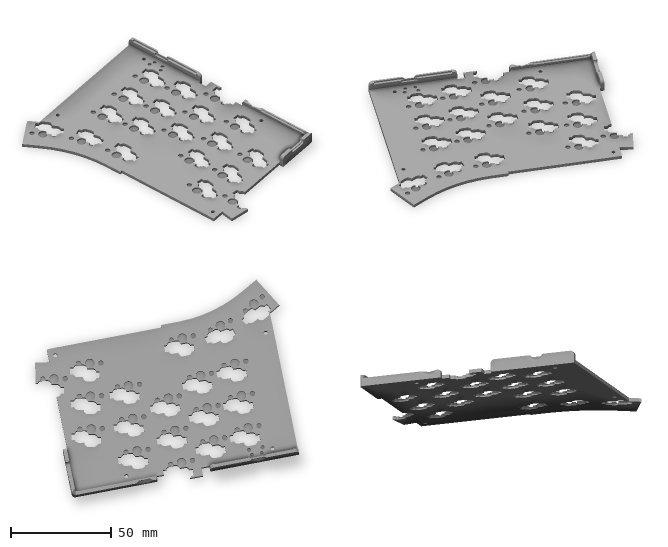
import cadquery as cq
import math


PLATE_THICKNESS = 1.8
PLATE_LEFT = -58.2
PLATE_RIGHT = 54.65
PLATE_FRONT = -32.0
PLATE_BACK = 43.1

ROW_PITCH = 17.0
TAB_HALF_WIDTH = 9.25
TAB_HALF_DEPTH = 8.72
BACK_TAB_KEY = (0.1, 38.6, 0.0)
RIGHT_TAB_KEY = (54.1, -16.25, -10.0)
INNER_THUMB_KEY = (-12.82, -24.55, 0.0)
MIDDLE_THUMB_KEY = (-32.72, -27.27, 15.0)
OUTER_THUMB_KEY = (-51.2, -34.95, 30.0)
COLUMNS = [
    ((-35.95, 27.4, 0.0), 3),
    ((-17.95, 30.2, 0.0), 3),
    (BACK_TAB_KEY, 3),
    ((20.72, 28.35, -4.0), 3),
    ((40.97, 12.77, -10.0), 3),
    (RIGHT_TAB_KEY, 1),
]

CENTRE_POCKET_DIAMETER = 4.75
SIDE_POCKET_DIAMETER = 2.68
SIDE_POCKET_OFFSET = 5.55
POCKET_DEPTH = 1.0
SOCKET_ROUNDING = 2.1
LEFT_LOBE = (0.1, 5.95, 6.65, 6.7)
RIGHT_LOBE = (4.8, 3.78, 7.0, 6.45)
PAD_HEIGHT = 3.5
LEFT_PAD_END = -4.85
RIGHT_PAD_END = 9.88

SCREW_HOLE_DIAMETER = 2.0
SCREW_HOLES = [(-45.85, 40.1), (28.45, 40.1), (-54.15, -19.2), (51.05, -28.2)]
PORT_X = -37.65
PIN_ROWS = [(2.5, 41.4, 1.8), (3.5, 38.7, 2.0)]

WALL_THICKNESS = 1.9
ROOT_CHAMFER = 0.45
PLATE_OVERLAP = 0.5
WALL_INNER_Y = PLATE_BACK + ROOT_CHAMFER
WALL_OUTER_Y = WALL_INNER_Y + WALL_THICKNESS
WALL_INNER_X = PLATE_RIGHT + ROOT_CHAMFER
WALL_OUTER_X = WALL_INNER_X + WALL_THICKNESS
TALL_TOP = 6.39
LOW_TOP = 4.25
TALL_END_ROUNDING = 2.2
SIDE_END_ROUNDING = 1.8
LOW_END_ROUNDING = 1.3
LEFT_WALL_END = -13.2
RIGHT_WALL_START = 13.6
SIDE_WALL_FRONT = 21.1
CORNER_ROUNDING = 1.6

LEDGE_WIDTH = 1.1
TALL_LEDGE_Z = 5.45
LOW_LEDGE_Z = 3.85
TALL_LEDGE_INSET = 2.5
LOW_LEDGE_START = 25.4
LOW_LEDGE_END = 53.5

PORT_SHELL_WIDTH = 8.0
PORT_SHELL_Z = 4.2
PORT_SHELL_DEPTH = 0.8
PORT_NOTCH_WIDTH = 3.2
PORT_NOTCH_Z = 5.45
PORT_FLARE_Z = 7.4
PORT_FLARE_OUTER_RADIUS = 4.2
PORT_FLARE_INNER_RADIUS = 3.1
PORT_FLARE_DEPTH = 0.8

JACK_X = 20.1
JACK_Z = 6.85
JACK_BORE_RADIUS = 3.0
JACK_FLARE_OUTER_RADIUS = 5.2
JACK_FLARE_INNER_RADIUS = 3.6
JACK_FLARE_DEPTH = 1.2

SIDE_NOTCH_BACK = 37.8
SIDE_NOTCH_FRONT = 28.4
SIDE_NOTCH_Z = 4.7
SIDE_NOTCH_ROUNDING = 1.4
SIDE_NOTCH_STEP = 0.5
SIDE_NOTCH_STEP_X = WALL_INNER_X + 1.0


def box(x0, x1, y0, y1, z0, z1):
    return cq.Workplane("XY").box(x1 - x0, y1 - y0, z1 - z0, centered=False).translate((x0, y0, z0))


def place(shape, key):
    """Moves a shape drawn around the switch centre to its key."""
    x, y, angle = key
    return shape.rotate((0, 0, 0), (0, 0, 1), angle).translate((x, y, 0))


def key_point(key, dx, dy):
    """Plate position of the point (dx, dy) in a key's own axes."""
    x, y, angle = key
    a = math.radians(angle)
    return (x + dx * math.cos(a) - dy * math.sin(a), y + dx * math.sin(a) + dy * math.cos(a))


def all_keys():
    keys = [INNER_THUMB_KEY, MIDDLE_THUMB_KEY, OUTER_THUMB_KEY]
    for back_key, count in COLUMNS:
        angle = back_key[2]
        for row in range(count):
            keys.append((*key_point(back_key, 0, -row * ROW_PITCH), angle))
    return keys


def key_tab():
    return cq.Workplane("XY").rect(2 * TAB_HALF_WIDTH, 2 * TAB_HALF_DEPTH).extrude(PLATE_THICKNESS)


def thumb_area():
    """Thumb cluster outline: its front edge sweeps through the front middle of each thumb key."""
    outer_front = key_point(OUTER_THUMB_KEY, 0, -TAB_HALF_DEPTH)
    middle_front = key_point(MIDDLE_THUMB_KEY, 0, -TAB_HALF_DEPTH)
    inner_front = key_point(INNER_THUMB_KEY, 0, -TAB_HALF_DEPTH)
    inner_right = key_point(INNER_THUMB_KEY, TAB_HALF_WIDTH, -TAB_HALF_DEPTH)
    return (
        cq.Workplane("XY")
        .moveTo(*key_point(OUTER_THUMB_KEY, 0, TAB_HALF_DEPTH))
        .lineTo(*key_point(OUTER_THUMB_KEY, -TAB_HALF_WIDTH, TAB_HALF_DEPTH))
        .lineTo(*key_point(OUTER_THUMB_KEY, -TAB_HALF_WIDTH, -TAB_HALF_DEPTH))
        .lineTo(*outer_front)
        .tangentArcPoint(middle_front, relative=False)
        .tangentArcPoint(inner_front, relative=False)
        .lineTo(*inner_right)
        .lineTo(*key_point(INNER_THUMB_KEY, TAB_HALF_WIDTH, 0))
        .close()
        .extrude(PLATE_THICKNESS)
    )


def plate():
    base = box(PLATE_LEFT, PLATE_RIGHT, PLATE_FRONT, PLATE_BACK, 0, PLATE_THICKNESS)
    base = base.union(thumb_area())
    base = base.union(place(key_tab(), BACK_TAB_KEY))
    return base.union(place(key_tab(), RIGHT_TAB_KEY))


def socket_lobe(x, y, width, height):
    lobe = cq.Workplane("XY").center(x, y).rect(width, height).extrude(PLATE_THICKNESS)
    return lobe.edges("|Z").fillet(SOCKET_ROUNDING)


def key_cutter():
    """Through opening for the hot-swap socket plus the three switch pin pockets."""
    left_x, left_y = LEFT_LOBE[:2]
    right_x, right_y = RIGHT_LOBE[:2]
    half_pad = PAD_HEIGHT / 2
    opening = socket_lobe(*LEFT_LOBE).union(socket_lobe(*RIGHT_LOBE))
    opening = opening.union(
        box(LEFT_PAD_END, left_x, left_y - half_pad, left_y + half_pad, 0, PLATE_THICKNESS)
    )
    opening = opening.union(
        box(right_x, RIGHT_PAD_END, right_y - half_pad, right_y + half_pad, 0, PLATE_THICKNESS)
    )
    floor = cq.Workplane("XY").workplane(offset=PLATE_THICKNESS - POCKET_DEPTH)
    opening = opening.union(floor.circle(CENTRE_POCKET_DIAMETER / 2).extrude(POCKET_DEPTH))
    sides = floor.pushPoints([(-SIDE_POCKET_OFFSET, 0), (SIDE_POCKET_OFFSET, 0)])
    return opening.union(sides.circle(SIDE_POCKET_DIAMETER / 2).extrude(POCKET_DEPTH))


def screw_holes():
    centres = cq.Workplane("XY").pushPoints(SCREW_HOLES)
    return centres.circle(SCREW_HOLE_DIAMETER / 2).extrude(PLATE_THICKNESS)


def pin_pockets():
    pockets = cq.Workplane("XY")
    for dx, y, diameter in PIN_ROWS:
        floor = cq.Workplane("XY", origin=(PORT_X, y, PLATE_THICKNESS - POCKET_DEPTH))
        pair = floor.pushPoints([(-dx, 0), (dx, 0)]).circle(diameter / 2).extrude(POCKET_DEPTH)
        pockets = pockets.add(pair)
    return pockets.combine()


def wall_profile(plate_edge, top):
    """Wall section as (outward, Z): a strip of plate, a 45 degree chamfer at the root, the wall."""
    inner = plate_edge + ROOT_CHAMFER
    outer = inner + WALL_THICKNESS
    return [
        (plate_edge - PLATE_OVERLAP, 0),
        (plate_edge - PLATE_OVERLAP, PLATE_THICKNESS),
        (plate_edge, PLATE_THICKNESS),
        (inner, PLATE_THICKNESS + ROOT_CHAMFER),
        (inner, top),
        (outer, top),
        (outer, 0),
    ]


def back_wall(x0, x1, top):
    section = cq.Workplane("YZ", origin=(x0, 0, 0)).polyline(wall_profile(PLATE_BACK, top)).close()
    return section.extrude(x1 - x0)


def ledge(x0, x1, z):
    """Cutter for a step along the inner top edge of a back wall."""
    return box(x0, x1, WALL_INNER_Y, WALL_INNER_Y + LEDGE_WIDTH, z, TALL_TOP)


def flare(x, z, outer_radius, inner_radius, depth):
    """Cutter for a conical hollow narrowing inwards from the outer face of a back wall."""
    outer_face = cq.Workplane("XZ", origin=(x, WALL_OUTER_Y, z))
    return outer_face.circle(outer_radius).workplane(offset=depth).circle(inner_radius).loft()


def tall_wall():
    wall = back_wall(PLATE_LEFT, LEFT_WALL_END, TALL_TOP)
    wall = wall.faces(">Z").edges("|Y").fillet(TALL_END_ROUNDING)
    wall = wall.cut(ledge(PLATE_LEFT + TALL_LEDGE_INSET, LEFT_WALL_END - TALL_LEDGE_INSET, TALL_LEDGE_Z))

    half_shell = PORT_SHELL_WIDTH / 2
    shell_back = WALL_INNER_Y + PORT_SHELL_DEPTH
    shell = box(PORT_X - half_shell, PORT_X + half_shell, WALL_INNER_Y, shell_back, PORT_SHELL_Z, TALL_TOP)
    half_notch = PORT_NOTCH_WIDTH / 2
    notch = box(PORT_X - half_notch, PORT_X + half_notch, WALL_INNER_Y, WALL_OUTER_Y, PORT_NOTCH_Z, TALL_TOP)
    hollow = flare(PORT_X, PORT_FLARE_Z, PORT_FLARE_OUTER_RADIUS, PORT_FLARE_INNER_RADIUS, PORT_FLARE_DEPTH)
    return wall.cut(shell).cut(notch).cut(hollow)


def low_wall():
    wall = back_wall(RIGHT_WALL_START, WALL_INNER_X, LOW_TOP)
    wall = wall.faces(">Z").edges("|Y").edges("<X").fillet(LOW_END_ROUNDING)
    wall = wall.cut(ledge(LOW_LEDGE_START, LOW_LEDGE_END, LOW_LEDGE_Z))

    outer_face = cq.Workplane("XZ", origin=(JACK_X, WALL_OUTER_Y, JACK_Z))
    bore = outer_face.circle(JACK_BORE_RADIUS).extrude(WALL_THICKNESS)
    hollow = flare(JACK_X, JACK_Z, JACK_FLARE_OUTER_RADIUS, JACK_FLARE_INNER_RADIUS, JACK_FLARE_DEPTH)
    return wall.cut(bore).cut(hollow)


def corner_ramp():
    """Cutter for the 45 degree ramp from the side wall down to the low wall.

    It is drawn as a section across the corner and swept along the ramp's top edge,
    which runs at 45 degrees in plan.
    """
    run = TALL_TOP - LOW_TOP
    start_y = WALL_OUTER_Y - math.sqrt(2) * run
    across = cq.Plane(origin=(WALL_INNER_X, start_y, TALL_TOP), xDir=(-1, 1, 0), normal=(1, 1, 0))
    section = cq.Workplane(across).polyline([(0, 0), (2 * run, -2 * run), (2 * run, 0)]).close()
    return section.extrude(2 * WALL_THICKNESS, both=True)


def side_notch(x0, x1, z):
    top = TALL_TOP + SIDE_NOTCH_ROUNDING
    notch = box(x0, x1, SIDE_NOTCH_FRONT, SIDE_NOTCH_BACK, z, top)
    return notch.edges("|X").edges("<Z").fillet(SIDE_NOTCH_ROUNDING)


def side_wall():
    length = WALL_OUTER_Y - SIDE_WALL_FRONT
    profile = wall_profile(PLATE_RIGHT, TALL_TOP)
    wall = cq.Workplane("XZ", origin=(0, WALL_OUTER_Y, 0)).polyline(profile).close().extrude(length)
    wall = wall.edges("|Z and >X and >Y").fillet(CORNER_ROUNDING)
    wall = wall.faces(">Z").edges("|X and <Y").fillet(SIDE_END_ROUNDING)
    wall = wall.cut(corner_ramp())
    wall = wall.cut(side_notch(WALL_INNER_X, WALL_OUTER_X, SIDE_NOTCH_Z))
    return wall.cut(side_notch(SIDE_NOTCH_STEP_X, WALL_OUTER_X, SIDE_NOTCH_Z - SIDE_NOTCH_STEP))


body = plate()
for rim in (tall_wall(), low_wall(), side_wall()):
    body = body.union(rim)
cutter = key_cutter()
for key in all_keys():
    body = body.cut(place(cutter, key))
body = body.cut(screw_holes()).cut(pin_pockets())

result = cq.Workplane(obj=max(body.solids().vals(), key=lambda solid: solid.Volume()))